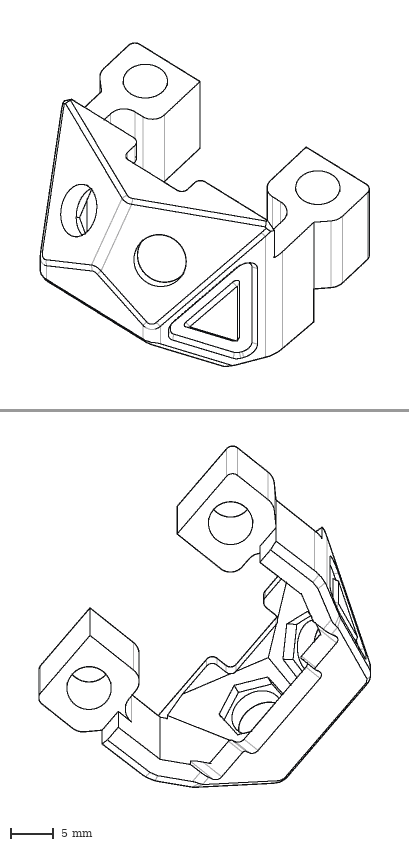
import cadquery as cq
import math

HEIGHT = 25.0
REAR_Y = 15.55
FRONT_Y = -13.85

FAR = 108.0
OVERRUN = 0.35

ARM_HALF_WIDTH = 16.0
FRONT_HALF_WIDTH = 8.45
BEND_RADIUS = 5.0
FRONT_RADIUS = 2.0
WALL = 3.0

ARM_TOP = 19.0
BLOCK_BOTTOM = 6.95
BLOCK_HALF_SPAN = 18.0
BLOCK_WIDTH = 10.0
BLOCK_LENGTH = 8.42
ARM_REAR_Y = REAR_Y - BLOCK_LENGTH
BLOCK_CHAMFER = BLOCK_HALF_SPAN - ARM_HALF_WIDTH
BLOCK_REAR_RADIUS = 0.95
BLOCK_BLEND_RADIUS = 2.0
BLOCK_INNER_RADIUS = 1.8
BLOCK_ROOT_Y = 3.6
SCREW_HOLE_DIAMETER = 5.2
SCREW_HOLE_X = 13.0
SCREW_HOLE_FROM_REAR = 4.0

APEX_Y = -ARM_HALF_WIDTH / 2
RIDGE_FOOT_Z = 17.93
UPPER_SIDE_SLOPE = 0.6
CHIN_Z = 10.22
CHIN_ANGLE = 45.0
BASE_ANGLE = 5.0
CHIN_BASE_RADIUS = 2.0
UPPER_CHAMFER = 0.4
SHOULDER_CHAMFER = 1.22
LOWER_BEVEL = 1.0

ROOF = WALL
CHIN_WALL = 1.5
ROOF_NOTCH_WIDTH = 9.05
ROOF_NOTCH_DEPTH = 3.05
ROOF_NOTCH_RADIUS = 0.85
LEG_GAP_HALF_WIDTH = 11.25
LEG_GAP_TOP = 2.9
CHIN_NOTCH_HALF_WIDTH = 6.4
CHIN_NOTCH_TOP = 4.43
LEG_GAP_RADIUS = 0.72
CHIN_NOTCH_RADIUS = 0.3

PORT_DIAMETER = 6.2
PORT_X = 6.12
PORT_Y = -9.3
PORT_DEPTH = 2.5
HEX_FLATS = 7.2
HEX_DEPTH = 1.5
HEX_TURN = 2.0

RELIEF_DEPTH = 0.5
RELIEF_TAPER = 45.0
RELIEF_MARGIN = 1.0
RELIEF_RADIUS = 1.62
ISLAND_UPPER_GAP = 2.15
ISLAND_LOWER_GAP = 1.98
ISLAND_REAR_GAP = 2.05
ISLAND_RADIUS = 0.55


def unit(x, y, z):
    return cq.Vector(x, y, z).normalized()


UPRIGHT = cq.Vector(0, 0, 1)
LENGTHWISE = cq.Vector(0, 1, 0)
RIDGE = cq.Vector(0, APEX_Y - FRONT_Y, HEIGHT - RIDGE_FOOT_Z)
SIDE_RUN = ARM_HALF_WIDTH - FRONT_HALF_WIDTH
SIDE_NORMAL = unit(-FRONT_Y, -SIDE_RUN, 0)
RIDGE_SLOPE = RIDGE.z / RIDGE.y
UPPER_NORMAL = unit(UPPER_SIDE_SLOPE, -RIDGE_SLOPE, 1)
CHIN_NORMAL = unit(0, -math.sin(math.radians(CHIN_ANGLE)), -math.cos(math.radians(CHIN_ANGLE)))
BASE_NORMAL = unit(0, -math.sin(math.radians(BASE_ANGLE)), -math.cos(math.radians(BASE_ANGLE)))
SHOULDER_NORMAL = unit(1, 0, 1)
APEX = cq.Vector(0, APEX_Y, HEIGHT)
SHOULDER_POINT = cq.Vector(ARM_HALF_WIDTH - SHOULDER_CHAMFER, 0, HEIGHT)

ARM = (cq.Vector(ARM_HALF_WIDTH, 0, 0), cq.Vector(1, 0, 0))
SIDE = (cq.Vector(ARM_HALF_WIDTH, 0, 0), SIDE_NORMAL)
FRONT = (cq.Vector(0, FRONT_Y, 0), cq.Vector(0, -1, 0))
CHIN = (cq.Vector(0, FRONT_Y, CHIN_Z), CHIN_NORMAL)
BASE = (cq.Vector(0, ARM_REAR_Y, 0), BASE_NORMAL)


def flip(vector):
    return cq.Vector(-vector.x, vector.y, vector.z)


def beyond(point, normal):
    """Large block filling the space outside the plane through point."""
    return cq.Workplane(cq.Plane(origin=point, normal=normal)).rect(FAR, FAR).extrude(FAR)


def trim(body, point, normal):
    return body.cut(beyond(point, normal))


def trim_both_sides(body, point, normal):
    return trim(trim(body, point, normal), flip(point), flip(normal))


def edge_bisector(face_a, face_b):
    """Direction midway between two faces, how far out their edge lies that way, and the
    cosine of its angle to either face's normal."""
    total = face_a[1] + face_b[1]
    middle = total.normalized()
    edge_offset = (face_a[1].dot(face_a[0]) + face_b[1].dot(face_b[0])) / total.Length
    return middle, edge_offset, middle.dot(face_a[1])


def rounding_tangent(face_a, face_b, radius):
    """Face touching the middle of the rounding between two faces."""
    middle, edge_offset, cosine = edge_bisector(face_a, face_b)
    depth = radius * (1 / cosine - 1)
    return (middle * (edge_offset - depth), middle)


def bevel(body, face_a, face_b):
    """Flat bevel with the same edge lines as a rounding of radius LOWER_BEVEL."""
    middle, edge_offset, cosine = edge_bisector(face_a, face_b)
    depth = LOWER_BEVEL * (1 / cosine - cosine)
    return trim_both_sides(body, middle * (edge_offset - depth), middle)


def box_between(x, y, z):
    box = cq.Workplane().box(x[1] - x[0], y[1] - y[0], z[1] - z[0], centered=False)
    return box.translate((x[0], y[0], z[0]))


def within(x, y, z):
    """Selector for edges centred inside the given ranges."""
    return cq.selectors.BoxSelector((x[0], y[0], z[0]), (x[1], y[1], z[1]))


def along(direction):
    return cq.selectors.ParallelDirSelector(direction)


def plan_prism(rear_y, inset, bottom, top):
    """Prism over the hood and arm outline, moved inwards by inset."""
    outline = [
        (ARM_HALF_WIDTH, rear_y),
        (ARM_HALF_WIDTH, 0),
        (FRONT_HALF_WIDTH, FRONT_Y),
        (-FRONT_HALF_WIDTH, FRONT_Y),
        (-ARM_HALF_WIDTH, 0),
        (-ARM_HALF_WIDTH, rear_y),
    ]
    prism = cq.Workplane().workplane(offset=bottom).polyline(outline).close()
    if inset:
        prism = prism.offset2D(-inset, "intersection")
    return prism.extrude(top - bottom)


def upper_faces(body, depth):
    return trim_both_sides(body, APEX - UPPER_NORMAL * depth, UPPER_NORMAL)


def upright_edges(y):
    return within((-FAR, FAR), (y - OVERRUN, y + OVERRUN), (0, FAR)) & along(UPRIGHT)


def hood_and_arms():
    """Solid hood running back into the full-width arm volume."""
    body = plan_prism(ARM_REAR_Y, 0, 0, HEIGHT)
    body = body.edges(upright_edges(0)).fillet(BEND_RADIUS)
    body = body.edges(upright_edges(FRONT_Y)).fillet(FRONT_RADIUS)
    body = upper_faces(body, 0)
    ridge_middle = (0, (APEX_Y + FRONT_Y) / 2, (HEIGHT + RIDGE_FOOT_Z) / 2)
    body = body.edges(cq.selectors.NearestToPointSelector(ridge_middle)).fillet(FRONT_RADIUS)

    rim = within((-FAR, FAR), (FRONT_Y - OVERRUN, 0), (HEIGHT / 2, FAR))
    body = body.edges(rim - along(RIDGE) - along(UPRIGHT)).chamfer(UPPER_CHAMFER)

    body = body.cut(box_between((-FAR, FAR), (0, FAR), (ARM_TOP, FAR)))
    body = trim(body, *BASE)
    body = trim(body, *CHIN)
    chin_base_edge = within((-OVERRUN, OVERRUN), (FRONT_Y + OVERRUN, ARM_REAR_Y - OVERRUN), (0, CHIN_Z))
    body = body.edges(chin_base_edge).fillet(CHIN_BASE_RADIUS)
    body = trim_both_sides(body, SHOULDER_POINT, SHOULDER_NORMAL)

    arm_bend = rounding_tangent(ARM, SIDE, BEND_RADIUS)
    front_corner = rounding_tangent(SIDE, FRONT, FRONT_RADIUS)
    chin_base = rounding_tangent(CHIN, BASE, CHIN_BASE_RADIUS)
    for wall in (ARM, arm_bend, SIDE):
        body = bevel(body, wall, BASE)
    body = bevel(body, SIDE, chin_base)
    for wall in (SIDE, front_corner, FRONT):
        body = bevel(body, wall, CHIN)
    return body


def cavity():
    """Hollow following the outer walls, open at the back."""
    hollow = plan_prism(FAR, WALL, -FAR, HEIGHT - ROOF)
    hollow = upper_faces(hollow, PORT_DEPTH + HEX_DEPTH)
    hollow = trim(hollow, CHIN[0] - CHIN_NORMAL * CHIN_WALL, CHIN_NORMAL)
    return hollow


def leg_gap():
    """Stepped opening below the chin, running front to back."""
    def slot(half_width, top):
        block = box_between((-half_width, half_width), (FRONT_Y - OVERRUN, FAR), (-OVERRUN, top))
        return block.edges(">Z and |Y").fillet(LEG_GAP_RADIUS)

    gap = slot(LEG_GAP_HALF_WIDTH, LEG_GAP_TOP).union(slot(CHIN_NOTCH_HALF_WIDTH, CHIN_NOTCH_TOP))
    reach = CHIN_NOTCH_HALF_WIDTH + OVERRUN
    steps = within((-reach, reach), (-FAR, FAR), (LEG_GAP_TOP - OVERRUN, LEG_GAP_TOP + OVERRUN))
    return gap.edges(steps & along(LENGTHWISE)).fillet(CHIN_NOTCH_RADIUS)


def roof_notch():
    """Notch in the rear edge of the roof, with its mouth corners rounded off."""
    half = ROOF_NOTCH_WIDTH / 2
    notch = box_between((-half, half), (-ROOF_NOTCH_DEPTH, 0), (ARM_TOP, HEIGHT))
    mouth = box_between((-ROOF_NOTCH_WIDTH, ROOF_NOTCH_WIDTH), (0, OVERRUN), (ARM_TOP, HEIGHT))
    opening = notch.union(mouth)
    reach = half + OVERRUN
    corners = within((-reach, reach), (-FAR, OVERRUN / 2), (0, FAR)) & along(UPRIGHT)
    return opening.edges(corners).fillet(ROOF_NOTCH_RADIUS)


def port():
    """Round hole square to an upper face, opening into a hexagonal recess behind it."""
    center = cq.Vector(PORT_X, PORT_Y, upper_z(PORT_X, PORT_Y))
    across = UPPER_NORMAL.cross(RIDGE)
    plane = cq.Plane(origin=center, xDir=across, normal=UPPER_NORMAL * -1)
    hole = cq.Workplane(plane).workplane(offset=-OVERRUN).circle(PORT_DIAMETER / 2).extrude(PORT_DEPTH + OVERRUN)
    hex_corners = HEX_FLATS / math.cos(math.pi / 6)
    flats_to_ridge = 30
    recess = (cq.Workplane(plane).workplane(offset=PORT_DEPTH).transformed(rotate=(0, 0, flats_to_ridge + HEX_TURN))
              .polygon(6, hex_corners).extrude(HEX_DEPTH))
    return hole.union(recess)


def screw_block():
    """Screw block of the +X arm, with the start of the arm in front of it."""
    inner_x = BLOCK_HALF_SPAN - BLOCK_WIDTH
    arm_inner_x = ARM_HALF_WIDTH - WALL
    block = (
        cq.Workplane().workplane(offset=BLOCK_BOTTOM)
        .moveTo(inner_x, REAR_Y)
        .lineTo(BLOCK_HALF_SPAN, REAR_Y)
        .lineTo(BLOCK_HALF_SPAN, ARM_REAR_Y + BLOCK_CHAMFER)
        .lineTo(ARM_HALF_WIDTH, ARM_REAR_Y)
        .lineTo(ARM_HALF_WIDTH, BLOCK_ROOT_Y)
        .lineTo(arm_inner_x, BLOCK_ROOT_Y)
        .lineTo(arm_inner_x, ARM_REAR_Y)
        .lineTo(inner_x, ARM_REAR_Y)
        .close()
        .extrude(ARM_TOP - BLOCK_BOTTOM)
    )

    def corner(x, y):
        return cq.selectors.NearestToPointSelector((x, y, (BLOCK_BOTTOM + ARM_TOP) / 2))

    block = block.edges(corner(BLOCK_HALF_SPAN, REAR_Y)).fillet(BLOCK_REAR_RADIUS)
    block = block.edges(corner(BLOCK_HALF_SPAN, ARM_REAR_Y + BLOCK_CHAMFER)).fillet(BLOCK_BLEND_RADIUS)
    block = block.edges(corner(inner_x, ARM_REAR_Y)).fillet(BLOCK_INNER_RADIUS)
    block = block.edges(corner(arm_inner_x, ARM_REAR_Y)).fillet(BLOCK_BLEND_RADIUS)
    hole = (cq.Workplane().center(SCREW_HOLE_X, REAR_Y - SCREW_HOLE_FROM_REAR)
            .circle(SCREW_HOLE_DIAMETER / 2).extrude(HEIGHT))
    return block.cut(hole)


def upper_z(x, y):
    """Height of the +X upper face."""
    return HEIGHT - UPPER_SIDE_SLOPE * x + RIDGE_SLOPE * (y - APEX_Y)


SIDE_LENGTH = math.hypot(SIDE_RUN, FRONT_Y)
BEND_ANGLE = math.atan2(SIDE_RUN, -FRONT_Y)
SIDE_REAR = BEND_RADIUS * math.tan(BEND_ANGLE / 2)
SIDE_FRONT = SIDE_LENGTH - FRONT_RADIUS * math.tan((math.pi / 2 - BEND_ANGLE) / 2)
UPPER_START = upper_z(ARM_HALF_WIDTH, 0)
SIDE_UPPER = ((upper_z(FRONT_HALF_WIDTH, FRONT_Y) - UPPER_START) / SIDE_LENGTH, UPPER_START)
CHIN_SLOPE = math.tan(math.radians(CHIN_ANGLE))
SIDE_LOWER = (-FRONT_Y * CHIN_SLOPE / SIDE_LENGTH, CHIN_Z + FRONT_Y * CHIN_SLOPE)
BASE_SLOPE = math.tan(math.radians(BASE_ANGLE))
SIDE_BASE = (-FRONT_Y * BASE_SLOPE / SIDE_LENGTH, ARM_REAR_Y * BASE_SLOPE)


def shifted(line, distance):
    """Boundary moved upwards, measured square to itself."""
    slope, start = line
    return (slope, start + distance * math.hypot(1, slope))


def point_on(line, x):
    return (x, line[0] * x + line[1])


def crossing(line_a, line_b):
    return point_on(line_a, (line_b[1] - line_a[1]) / (line_a[0] - line_b[0]))


def bevel_reach(normal):
    """How far the lower bevel reaches onto the slanted side, next to the face with this normal."""
    return LOWER_BEVEL * math.tan(SIDE_NORMAL.getAngle(normal) / 2)


def rounded(corners, radius):
    return cq.Sketch().polygon(corners + corners[:1]).vertices().fillet(radius)


def relief():
    """Tapered groove around a flush triangular island on the +X side."""
    forward = cq.Vector(-SIDE_RUN, FRONT_Y, 0)
    side = cq.Workplane(cq.Plane(origin=(ARM_HALF_WIDTH, 0, 0), xDir=forward, normal=SIDE_NORMAL * -1))

    rear = SIDE_REAR + RELIEF_MARGIN
    front = SIDE_FRONT - RELIEF_MARGIN
    upper = shifted(SIDE_UPPER, -UPPER_CHAMFER - RELIEF_MARGIN)
    lower = shifted(SIDE_LOWER, bevel_reach(CHIN_NORMAL) + RELIEF_MARGIN)
    base = shifted(SIDE_BASE, bevel_reach(BASE_NORMAL) + RELIEF_MARGIN)
    outline = [
        point_on(upper, rear),
        point_on(upper, front),
        point_on(lower, front),
        crossing(lower, base),
        point_on(base, rear),
    ]
    groove = side.placeSketch(rounded(outline, RELIEF_RADIUS)).extrude(RELIEF_DEPTH, taper=RELIEF_TAPER)

    island_upper = shifted(upper, -ISLAND_UPPER_GAP)
    island_lower = shifted(lower, ISLAND_LOWER_GAP)
    island_rear = rear + ISLAND_REAR_GAP
    island_outline = [
        point_on(island_upper, island_rear),
        crossing(island_upper, island_lower),
        point_on(island_lower, island_rear),
    ]
    floor = side.workplane(offset=RELIEF_DEPTH)
    island = floor.placeSketch(rounded(island_outline, ISLAND_RADIUS)).extrude(-RELIEF_DEPTH, taper=RELIEF_TAPER)
    return groove.cut(island)


def both_sides(feature):
    return feature.union(feature.mirror("YZ"))


body = hood_and_arms().cut(cavity()).cut(leg_gap()).cut(roof_notch())
body = body.cut(both_sides(port())).cut(both_sides(relief()))
result = body.union(both_sides(screw_block()))